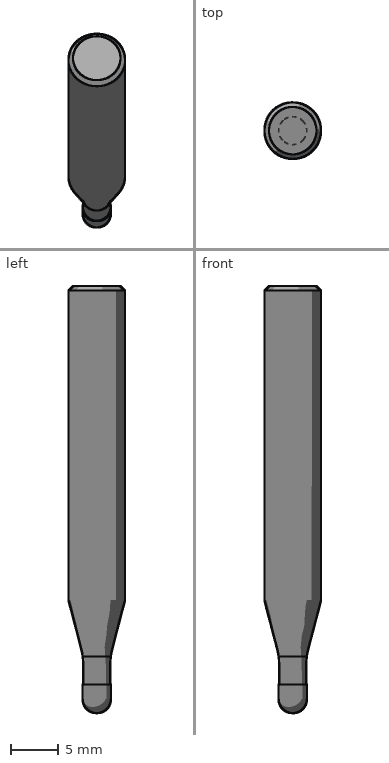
import cadquery as cq
import math

TOTAL_LENGTH = 45.0
SHANK_DIAMETER = 6.0
SHANK_CHAMFER = 0.5
HEAD_DIAMETER = 3.0
HEAD_LENGTH = 3.0
NECK_DIAMETER = 2.9
NECK_END_Z = 6.0
CONE_TOP_Z = 11.9
NECK_BLEND_RADIUS = 6.3

SHANK_RADIUS = SHANK_DIAMETER / 2
HEAD_RADIUS = HEAD_DIAMETER / 2
NECK_RADIUS = NECK_DIAMETER / 2

FULL_TURN = 360
AXIS_START = (0, 0)
AXIS_END = (0, 1)


def make_tool_form():
    """Whole outer form: ball nose, head, neck, blended cone and chamfered shank."""
    ball_arc_offset = HEAD_RADIUS * math.sin(math.pi / 4)
    profile = (
        cq.Workplane("XZ")
        .moveTo(0, 0)
        .threePointArc((ball_arc_offset, HEAD_RADIUS - ball_arc_offset), (HEAD_RADIUS, HEAD_RADIUS))
        .lineTo(HEAD_RADIUS, HEAD_LENGTH)
        .lineTo(NECK_RADIUS, HEAD_LENGTH)
        .lineTo(NECK_RADIUS, NECK_END_Z)
        .lineTo(SHANK_RADIUS, CONE_TOP_Z)
        .lineTo(SHANK_RADIUS, TOTAL_LENGTH)
        .lineTo(0, TOTAL_LENGTH)
        .close()
    )
    form = profile.revolve(FULL_TURN, AXIS_START, AXIS_END)
    form = form.faces(">Z").edges().chamfer(SHANK_CHAMFER)
    neck_corner = cq.selectors.NearestToPointSelector((0, 0, NECK_END_Z))
    return form.edges("%CIRCLE").edges(neck_corner).fillet(NECK_BLEND_RADIUS)


def make_region_below_joint():
    """Cylinder that encloses everything below the joint of the two bodies."""
    return cq.Workplane("XY").circle(SHANK_DIAMETER).extrude(NECK_END_Z)


def make_cutter_tip():
    """Ball nose, head and neck, up to the joint."""
    return make_tool_form().intersect(make_region_below_joint())


def make_shank():
    """Cone and cylindrical shank, from the joint upwards."""
    return make_tool_form().cut(make_region_below_joint())


cutter_tip = make_cutter_tip()
shank = make_shank()

result = cq.Compound.makeCompound([cutter_tip.solids().val(), shank.solids().val()])